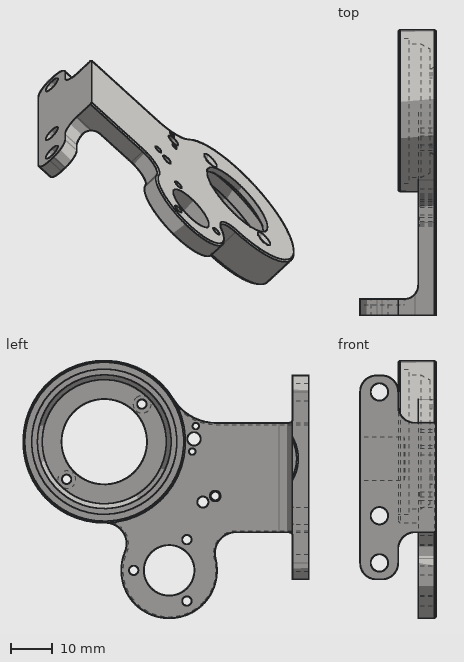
import cadquery as cq
import math

depth = 18.2
length = 68.5
height = 61.8

plate_thickness = 4.3
plate_x = depth - plate_thickness
plate_bottom = 20.6
plate_top = 46.85
back_chamfer = 0.4

ring_radius = 19.45
ring_y = length - ring_radius
ring_z = height - ring_radius
ring_x = 9.2
rim_chamfer = 0.4
seat_radius = 17.4
seat_depth = 2.55
pocket_radius = 16.0
pocket_depth = 5.35
floor_radius = 14.85
floor_depth = 7.55
bore_radius = 10.2

lobe_radius = 11.5
lobe_y = 33.5
lobe_z = lobe_radius
lobe_bore_radius = 6.0

top_blend = 12.0
side_blend = 5.0

foot_thickness = 4.0
foot_bottom = 9.3
foot_top = 58.2
foot_width = 9.2
foot_corner = 4.0
inner_fillet = 3.2
foot_hole_x = 4.65
foot_hole_radius = 2.05
foot_hole_heights = (13.3, 24.6, 54.25)

clearance_y = 12.6
clearance_z = 38.3
clearance_radius = 10.1
clearance_slope_width = 0.4
clearance_slope_depth = 0.2
clearance_depth = plate_x - inner_fillet

screw_radius = 1.1
countersink_depth = 1.0
ring_screw_circle = 12.75
ring_screw_angles = (135, 315)
lobe_screw_circle = 8.5
lobe_screw_angles = (0, 120, 240)
sensor_y = 27.55
sensor_z = 43.0
sensor_radius = 1.6
sensor_screw_radius = 0.75
sensor_screw_offset = 3.1
sensor_tilt = 8
sensor_screw_angles = (90 + sensor_tilt, 270 + sensor_tilt)
pin_y = 25.4
pin_z = 27.9
pin_radius = 1.3
tapped_y = 22.5
tapped_z = 29.3
tapped_radius = 1.0
tapped_chamfer = 0.3


def towards(start, target, distance):
    """Point at a distance from start on the line to target."""
    reach = math.dist(start, target)
    return tuple(s + (t - s) * distance / reach for s, t in zip(start, target))


def circle_crossing(first, first_radius, second, second_radius):
    """Crossing of two circles that lies to the left of the line first -> second."""
    span = math.dist(first, second)
    along = (first_radius**2 - second_radius**2 + span**2) / (2 * span)
    across = math.sqrt(first_radius**2 - along**2)
    uy, uz = (second[0] - first[0]) / span, (second[1] - first[1]) / span
    return first[0] + along * uy - across * uz, first[1] + along * uz + across * uy


def blend_on_level(center, radius, blend_z, blend):
    """Centre at height blend_z, on the foot side, of a blend touching a circle."""
    return center[0] - math.sqrt((radius + blend) ** 2 - (blend_z - center[1]) ** 2), blend_z


def cylinder(y, z, radius, x_start, x_end):
    """Cylinder along X between two X positions."""
    return cq.Workplane("YZ", origin=(x_start, y, z)).circle(radius).extrude(x_end - x_start)


def cone(y, z, start_radius, end_radius, x_start, x_end):
    """Cone along X from a start radius to an end radius."""
    return (
        cq.Workplane("YZ", origin=(x_start, y, z))
        .circle(start_radius)
        .workplane(offset=x_end - x_start)
        .circle(end_radius)
        .loft()
    )


def make_plate():
    ring = (ring_y, ring_z)
    lobe = (lobe_y, lobe_z)
    top = blend_on_level(ring, ring_radius, plate_top + top_blend, top_blend)
    bottom = blend_on_level(lobe, lobe_radius, plate_bottom - side_blend, side_blend)
    neck = circle_crossing(ring, ring_radius + side_blend, lobe, lobe_radius + side_blend)
    middle = (ring_y - ring_radius, plate_bottom)
    outline = (
        cq.Workplane("YZ", origin=(plate_x, 0, 0))
        .moveTo(0, plate_bottom)
        .lineTo(bottom[0], plate_bottom)
        .threePointArc(towards(bottom, middle, side_blend), towards(bottom, lobe, side_blend))
        .threePointArc((lobe_y, lobe_z - lobe_radius), towards(lobe, neck, lobe_radius))
        .threePointArc(towards(neck, middle, side_blend), towards(neck, ring, side_blend))
        .threePointArc((ring_y + ring_radius, ring_z), towards(ring, top, ring_radius))
        .threePointArc(towards(top, (ring_y - ring_radius, plate_top), top_blend), (top[0], plate_top))
        .lineTo(0, plate_top)
        .close()
    )
    plate = outline.extrude(plate_thickness)
    return plate.faces(">X").edges("not <Y").chamfer(back_chamfer)


def make_ring():
    ring = cylinder(ring_y, ring_z, ring_radius, ring_x, plate_x)
    return ring.faces("<X").chamfer(rim_chamfer)


def make_foot():
    """L-shaped section with a rounded inner corner, trimmed to the foot outline."""
    inner_corner = foot_thickness + inner_fillet
    fillet_mid = inner_fillet * (1 - math.sqrt(0.5))
    section = (
        cq.Workplane("XY")
        .lineTo(plate_x, 0)
        .lineTo(plate_x, inner_corner)
        .threePointArc(
            (plate_x - fillet_mid, foot_thickness + fillet_mid),
            (plate_x - inner_fillet, foot_thickness),
        )
        .lineTo(0, foot_thickness)
        .close()
        .extrude(height)
    )
    strip = (
        cq.Workplane("XZ")
        .moveTo(0, foot_bottom)
        .lineTo(foot_width, foot_bottom)
        .lineTo(foot_width, plate_bottom)
        .lineTo(plate_x, plate_bottom)
        .lineTo(plate_x, plate_top)
        .lineTo(foot_width, plate_top)
        .lineTo(foot_width, foot_top)
        .lineTo(0, foot_top)
        .close()
        .extrude(-inner_corner)
        .edges("|Y")
        .edges("not >X")
        .fillet(foot_corner)
    )
    return section.intersect(strip)


def bore_ring(body):
    seat_x = ring_x + seat_depth
    pocket_x = ring_x + pocket_depth
    floor_x = ring_x + floor_depth
    body = body.cut(cylinder(ring_y, ring_z, seat_radius, ring_x, seat_x))
    body = body.cut(cylinder(ring_y, ring_z, pocket_radius, seat_x, pocket_x))
    body = body.cut(cone(ring_y, ring_z, pocket_radius, floor_radius, pocket_x, floor_x))
    return body.cut(cylinder(ring_y, ring_z, bore_radius, floor_x, depth))


def cut_clearance(body):
    """Round pocket with a sloped ring around its flat floor."""
    slope_x = clearance_depth - clearance_slope_depth
    floor = clearance_radius - clearance_slope_width
    body = body.cut(cylinder(clearance_y, clearance_z, clearance_radius, 0, slope_x))
    return body.cut(cone(clearance_y, clearance_z, clearance_radius, floor, slope_x, clearance_depth))


def polar(center_y, center_z, circle, angle):
    """Point on a hole circle, with the angle measured from +Y towards +Z."""
    turn = math.radians(angle)
    return center_y + circle * math.cos(turn), center_z + circle * math.sin(turn)


def drill_plate(body):
    holes = [
        (lobe_y, lobe_z, lobe_bore_radius),
        (sensor_y, sensor_z, sensor_radius),
        (pin_y, pin_z, pin_radius),
        (tapped_y, tapped_z, tapped_radius),
    ]
    for angle in ring_screw_angles:
        holes.append((*polar(ring_y, ring_z, ring_screw_circle, angle), screw_radius))
    for angle in lobe_screw_angles:
        holes.append((*polar(lobe_y, lobe_z, lobe_screw_circle, angle), screw_radius))
    for angle in sensor_screw_angles:
        place = polar(sensor_y, sensor_z, sensor_screw_offset, angle)
        holes.append((*place, sensor_screw_radius))
    for y, z, radius in holes:
        body = body.cut(cylinder(y, z, radius, ring_x, depth))
    mouth = tapped_radius + tapped_chamfer
    return body.cut(cone(tapped_y, tapped_z, mouth, tapped_radius, plate_x, plate_x + tapped_chamfer))


def countersink_ring_screws(body):
    """Conical seats on the back face, widening at 45 degrees."""
    mouth = screw_radius + countersink_depth
    for angle in ring_screw_angles:
        y, z = polar(ring_y, ring_z, ring_screw_circle, angle)
        body = body.cut(cone(y, z, screw_radius, mouth, depth - countersink_depth, depth))
    return body


def drill_foot(body):
    for z in foot_hole_heights:
        hole = cq.Workplane("XZ").center(foot_hole_x, z).circle(foot_hole_radius).extrude(-foot_thickness)
        body = body.cut(hole)
    return body


result = make_plate().union(make_ring()).union(make_foot())
result = bore_ring(result)
result = cut_clearance(result)
result = drill_plate(result)
result = countersink_ring_screws(result)
result = drill_foot(result)